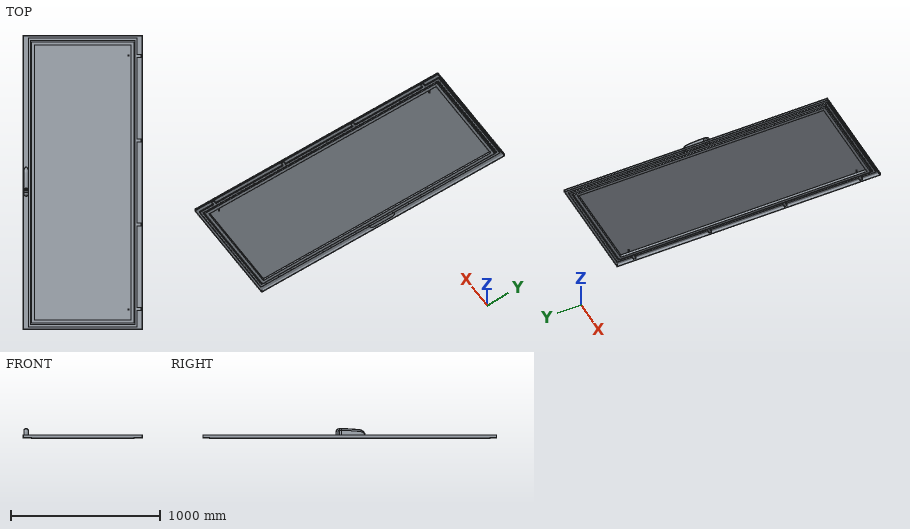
import cadquery as cq
import math

DOOR_WIDTH = 795.0
DOOR_LENGTH = 1960.0
RIM_DEPTH = 20.0
SHEET = 2.0
BEND_RADIUS = 4.0

FRAME_INSET_X = 34.0
FRAME_INSET_Y = 16.0
FRAME_WIDTH = 16.0
FRAME_DEPTH = 15.0
GASKET_INSET_X = 54.0
GASKET_INSET_Y = 44.0
GASKET_WIDTH = 20.0
GASKET_DEPTH = 24.0

HINGE_PAD_INSET = 10.0
HINGE_PAD_LENGTH = 20.0
HINGE_PAD_DEPTH = 15.0
HINGE_PITCH = 562.0
HINGE_COUNT = 4

STUD_DIAMETER = 8.0
STUD_DEPTH = 15.0
STUD_INSET_X = 93.0
STUD_INSET_Y = 132.0

HANDLE_HEIGHT = 41.0
HANDLE_WIDTH = 32.0
HANDLE_X = -DOOR_WIDTH / 2 + 20.0
CROWN_RISE = 12.0
GRIP_DEPTH = 60.0

NOSE_TIP_Y = 103.0
NOSE_START_Y = 65.0
NOSE_START_Z = 34.0
BAND_START_Y = -56.0
BAND_LENGTH = 12.0
BAND_INSET = 0.3
END_RADIUS = 24.0

LOCK_Y = -46.0
LOCK_DIAMETER = 18.0
LOCK_DEPTH = 3.0
BARREL_DIAMETER = 10.0


def slab(width, length, depth):
    """A plate hanging from the outer face, centred on the panel."""
    return cq.Workplane("XY").rect(width, length).extrude(-depth)


def ring(inset_x, inset_y, width, depth):
    """A rectangular ring under the outer face, joined to the sheet."""
    outer_x = DOOR_WIDTH - 2 * inset_x
    outer_y = DOOR_LENGTH - 2 * inset_y
    return (
        cq.Workplane("XY")
        .workplane(offset=-SHEET)
        .rect(outer_x, outer_y)
        .rect(outer_x - 2 * width, outer_y - 2 * width)
        .extrude(-(depth - SHEET))
    )


def folded_pan():
    outside = slab(DOOR_WIDTH, DOOR_LENGTH, RIM_DEPTH).faces(">Z").edges().fillet(BEND_RADIUS)
    inside = (
        slab(DOOR_WIDTH - 2 * SHEET, DOOR_LENGTH - 2 * SHEET, RIM_DEPTH)
        .faces(">Z")
        .edges()
        .fillet(BEND_RADIUS - SHEET)
        .translate((0, 0, -SHEET))
    )
    return outside.cut(inside)


def hinge_pads():
    pad_width = FRAME_INSET_X - HINGE_PAD_INSET
    pad_x = DOOR_WIDTH / 2 - HINGE_PAD_INSET - pad_width / 2
    return (
        cq.Workplane("XY")
        .workplane(offset=-SHEET)
        .center(pad_x, 0)
        .rarray(1, HINGE_PITCH, 1, HINGE_COUNT)
        .rect(pad_width, HINGE_PAD_LENGTH)
        .extrude(-(HINGE_PAD_DEPTH - SHEET))
    )


def studs():
    stud_x = DOOR_WIDTH / 2 - STUD_INSET_X
    stud_y = DOOR_LENGTH / 2 - STUD_INSET_Y
    return (
        cq.Workplane("XY")
        .workplane(offset=-SHEET)
        .pushPoints([(stud_x, stud_y), (stud_x, -stud_y)])
        .circle(STUD_DIAMETER / 2)
        .extrude(-(STUD_DEPTH - SHEET))
    )


def build_door():
    frame = ring(FRAME_INSET_X, FRAME_INSET_Y, FRAME_WIDTH, FRAME_DEPTH)
    gasket = ring(GASKET_INSET_X, GASKET_INSET_Y, GASKET_WIDTH, GASKET_DEPTH)
    return folded_pan().union(frame).union(gasket).union(hinge_pads()).union(studs())


def handle_section(spine_y, spine_z, tilt, depth, inset=0.0):
    """The handle's cross-section: a flat-sided slab of the given depth under an arched crown.

    The top of the crown is at (spine_y, spine_z), and the section leans towards +Y by tilt (radians).
    """
    half_width = HANDLE_WIDTH / 2 - inset
    plane = cq.Plane(
        origin=(HANDLE_X, spine_y, spine_z),
        xDir=(1, 0, 0),
        normal=(0, -math.cos(tilt), math.sin(tilt)),
    )
    return (
        cq.Workplane(plane)
        .moveTo(-half_width, -depth)
        .lineTo(-half_width, -CROWN_RISE)
        .threePointArc((0, -inset), (half_width, -CROWN_RISE))
        .lineTo(half_width, -depth)
        .close()
    )


def handle_bend(centre_y, centre_z, radius, start_tilt, end_tilt, depth):
    """The cross-section turned about an axis along X, from one lean to another."""
    spine_y = centre_y + radius * math.sin(start_tilt)
    spine_z = centre_z + radius * math.cos(start_tilt)
    section = handle_section(spine_y, spine_z, start_tilt, depth)
    return section.revolve(math.degrees(start_tilt - end_tilt), (0, -radius), (1, -radius))


def handle_sweep():
    """Nose, grip, band and end, each running smoothly into the next."""
    grip_run = NOSE_START_Y - BAND_START_Y
    grip_drop = HANDLE_HEIGHT - NOSE_START_Z
    grip_radius = (grip_run**2 + grip_drop**2) / (2 * grip_drop)
    grip_tilt = math.asin(grip_run / grip_radius)
    grip = handle_bend(
        BAND_START_Y, HANDLE_HEIGHT - grip_radius, grip_radius, grip_tilt, 0, GRIP_DEPTH
    )

    nose_run = NOSE_TIP_Y - NOSE_START_Y
    chord_tilt = math.atan2(NOSE_START_Z, nose_run)
    tip_tilt = 2 * chord_tilt - grip_tilt
    nose_radius = math.hypot(nose_run, NOSE_START_Z) / (2 * math.sin(chord_tilt - grip_tilt))
    nose = handle_bend(
        NOSE_START_Y - nose_radius * math.sin(grip_tilt),
        NOSE_START_Z - nose_radius * math.cos(grip_tilt),
        nose_radius,
        tip_tilt,
        grip_tilt,
        nose_radius,
    )

    band = handle_section(BAND_START_Y, HANDLE_HEIGHT, 0, HANDLE_HEIGHT, BAND_INSET).extrude(BAND_LENGTH)

    end_y = BAND_START_Y - BAND_LENGTH
    end_z = HANDLE_HEIGHT - END_RADIUS
    end = handle_bend(end_y, end_z, END_RADIUS, 0, -math.pi / 2, END_RADIUS)
    tail = handle_section(end_y - END_RADIUS, end_z, -math.pi / 2, END_RADIUS).extrude(end_z)
    return grip.union(nose).union(band).union(end).union(tail)


def handle_plan():
    """The handle's outline from above: straight sides and a half-ellipse nose."""
    straight_length = NOSE_START_Y - BAND_START_Y + BAND_LENGTH + END_RADIUS
    nose = (
        cq.Workplane("XY", origin=(HANDLE_X, NOSE_START_Y, 0))
        .ellipse(HANDLE_WIDTH / 2, NOSE_TIP_Y - NOSE_START_Y)
        .extrude(HANDLE_HEIGHT)
    )
    straight = (
        cq.Workplane("XY", origin=(HANDLE_X, NOSE_START_Y - straight_length / 2, 0))
        .rect(HANDLE_WIDTH, straight_length)
        .extrude(HANDLE_HEIGHT)
    )
    return straight.union(nose)


def lock_recess():
    """A round annular recess in the handle's top, leaving the lock barrel in its middle."""
    return (
        cq.Workplane("XY", origin=(HANDLE_X, LOCK_Y, HANDLE_HEIGHT - LOCK_DEPTH))
        .circle(LOCK_DIAMETER / 2)
        .circle(BARREL_DIAMETER / 2)
        .extrude(LOCK_DEPTH)
    )


def build_handle():
    return handle_sweep().intersect(handle_plan()).cut(lock_recess())


door = build_door()
handle = build_handle()

result = cq.Compound.makeCompound([door.val(), handle.val()])